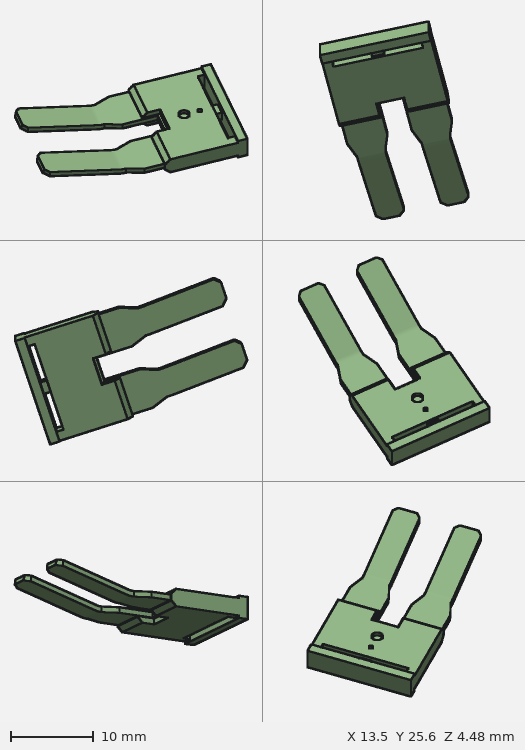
import cadquery as cq
import math

body_width = 13.5
body_length = 10.52
body_height = 2.2
nose_chamfer = 0.67
rail_length = 1.2
rail_height = 2.8
notch_width = 3.43
notch_start = 8.22

slot_width = 11.1
slot_end = 2.07
bridge_width = 1.5
bridge_height = 1.18

blind_depth = 0.5
small_hole_diameter = 0.5
small_hole_setback = 3.76
large_hole_diameter = 1.35
large_hole_setback = 5.75

overall_length = 25.6
comb_thickness = 0.72
comb_notch_start = 8.6
finger_pitch = 8.0
shoulder_width = 5.02
finger_width = 3.5
taper_start = 13.1
taper_end = 15.15
bend_start = 15.33
bend_angle = 15.5
bend_inner_radius = 1.95
tip_chamfer = 0.72


def centred_box(width, front, rear, height):
    """Box centred on X and Z, spanning setbacks front to rear along -Y."""
    length = rear - front
    return cq.Workplane("XY").box(width, length, height).translate((0, -(front + rear) / 2, 0))


def make_body():
    half_body = body_height / 2
    half_rail = rail_height / 2
    profile = [
        (0, -half_rail),
        (0, half_rail),
        (-rail_length, half_rail),
        (-rail_length, half_body),
        (-body_length + nose_chamfer, half_body),
        (-body_length, half_body - nose_chamfer),
        (-body_length, -half_body + nose_chamfer),
        (-body_length + nose_chamfer, -half_body),
        (-rail_length, -half_body),
        (-rail_length, -half_rail),
    ]
    body = cq.Workplane("YZ").polyline(profile).close().extrude(body_width / 2, both=True)
    body = body.cut(centred_box(slot_width, rail_length, slot_end, body_height))
    body = body.union(centred_box(bridge_width, rail_length, slot_end, bridge_height))
    return body.cut(centred_box(notch_width, notch_start, body_length, body_height))


def finger_plan(centre_x):
    """Vertical prism with the tapered, chamfered plan outline of one finger."""
    half_shoulder = shoulder_width / 2
    half_finger = finger_width / 2
    left_side = [
        (-half_shoulder, -comb_notch_start),
        (-half_shoulder, -taper_start),
        (-half_finger, -taper_end),
        (-half_finger, -overall_length + tip_chamfer),
        (-half_finger + tip_chamfer, -overall_length),
    ]
    right_side = [(-x, y) for x, y in reversed(left_side)]
    plan = cq.Workplane("XY").polyline(left_side + right_side).close()
    return plan.extrude(overall_length, both=True).translate((centre_x, 0, 0))


def bent_sheet():
    """Full-width sheet that is flat, then bends upward toward the tips."""
    half_thickness = comb_thickness / 2
    outer_radius = bend_inner_radius + comb_thickness
    centre_z = half_thickness + bend_inner_radius
    angle = math.radians(bend_angle)

    def on_bend(radius, turn):
        return (-bend_start - radius * math.sin(turn), centre_z - radius * math.cos(turn))

    lower_end = on_bend(outer_radius, angle)
    straight_run = (overall_length + lower_end[0]) / math.cos(angle)

    def along_tip(point):
        y, z = point
        return (y - straight_run * math.cos(angle), z + straight_run * math.sin(angle))

    upper_end = on_bend(bend_inner_radius, angle)
    profile = (
        cq.Workplane("YZ")
        .moveTo(-notch_start, -half_thickness)
        .lineTo(-bend_start, -half_thickness)
        .threePointArc(on_bend(outer_radius, angle / 2), lower_end)
        .lineTo(*along_tip(lower_end))
        .lineTo(*along_tip(upper_end))
        .lineTo(*upper_end)
        .threePointArc(on_bend(bend_inner_radius, angle / 2), (-bend_start, half_thickness))
        .lineTo(-notch_start, half_thickness)
        .close()
    )
    return profile.extrude(body_width / 2, both=True)


def make_comb():
    spine_width = finger_pitch + shoulder_width
    comb = centred_box(spine_width, notch_start, comb_notch_start, comb_thickness)
    for side in (-1, 1):
        finger = bent_sheet().intersect(finger_plan(side * finger_pitch / 2))
        comb = comb.union(finger)
    return comb


def blind_hole(diameter, setback):
    hole = cq.Workplane("XY").circle(diameter / 2).extrude(blind_depth)
    return hole.translate((0, -setback, body_height / 2 - blind_depth))


result = make_body().union(make_comb())
result = result.cut(blind_hole(small_hole_diameter, small_hole_setback))
result = result.cut(blind_hole(large_hole_diameter, large_hole_setback))